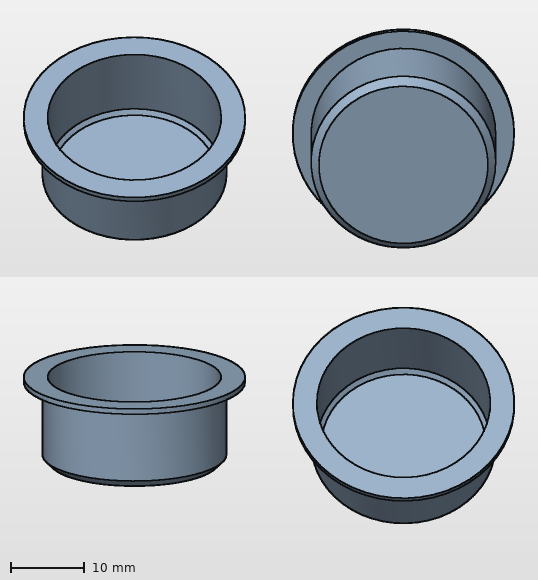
import cadquery as cq
import math

flange_diameter = 30.0
body_diameter = 25.0
total_height = 12.0
wall = 0.75
outer_chamfer = 1.05

cavity_diameter = body_diameter - 2 * wall
inner_chamfer = outer_chamfer - wall * (2 - math.sqrt(2))


def chamfered_cylinder(diameter, bottom, chamfer):
    """Cylinder from bottom up to the rim, with its lower edge chamfered."""
    return (
        cq.Workplane("XY")
        .workplane(offset=bottom)
        .circle(diameter / 2)
        .extrude(total_height - bottom)
        .faces("<Z")
        .edges()
        .chamfer(chamfer)
    )


body = chamfered_cylinder(body_diameter, 0, outer_chamfer)
cavity = chamfered_cylinder(cavity_diameter, wall, inner_chamfer)

flange = (
    cq.Workplane("XY")
    .workplane(offset=total_height - wall)
    .circle(flange_diameter / 2)
    .extrude(wall)
)

result = body.union(flange).cut(cavity)